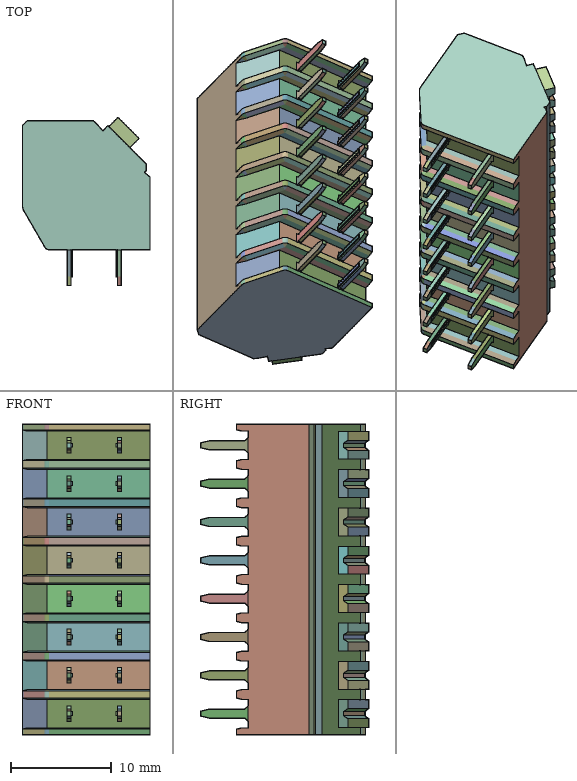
import cadquery as cq
import math


POLES = 8
PITCH = 3.81
WIDTH = 12.7
TOTAL_HEIGHT = 30.87
OVERALL_DEPTH = 16.72
PIN_TIP_Y = -3.55
BACK_Y = 12.85
SLANT_SUM = 20.86
BACK_CHAMFER = 0.5

FLOOR_Y = 1.17
FLOOR_CORNER_X = 2.43
FLOOR_SIDE_Y = 5.31

RIB_EDGE_THICKNESS = 0.74
RIB_TAPER_HEIGHT = 0.13
RIB_TAPER_INSET = 0.53
RIB_SIDE_Y = 4.12
RIB_SLANT_ANGLE = 60
RIB_SIDE_RADIUS = 1.0
RIB_BOTTOM_RADIUS = 0.55

BUTTON_START_X = 8.6
BUTTON_LENGTH = 2.96
BUTTON_WIDTH = 2.77
BUTTON_ROOT = 0.5
GROOVE_MOUTH = 1.0
GROOVE_BOTTOM = 0.4
GROOVE_DEPTH = 0.6

PIN_THICKNESS = 0.4
PIN_WIDTH = 0.92
PIN_TIP_WIDTH = 0.5
PIN_TAPER_Y = -2.68
PIN_FLARE_WIDTH = 1.55
PIN_FLARE_LENGTH = 0.33
PIN_ROOT = 0.3
FRONT_PIN_X = 4.64
PIN_SPACING = 5.0
BEAD_HEIGHT = 0.12
BEAD_WIDTH = 0.38

pole_heights = [(i - (POLES - 1) / 2) * PITCH for i in range(POLES)]
rib_heights = [(i - POLES / 2) * PITCH for i in range(POLES + 1)]

slant_low_x = 12.33
slant_high_x = 8.5
back_outline = [
    (WIDTH, 7.24),
    (12.13, 7.72),
    (slant_low_x, 7.85),
    (slant_low_x, SLANT_SUM - slant_low_x),
    (slant_high_x, SLANT_SUM - slant_high_x),
    (8.0, 11.84),
    (7.38, 12.55),
    (7.05, BACK_Y),
    (BACK_CHAMFER, BACK_Y),
    (0, BACK_Y - BACK_CHAMFER),
]

rib_slant = math.radians(RIB_SLANT_ANGLE)
rib_corner_x = RIB_SIDE_Y / math.tan(rib_slant)


def prism(points, height):
    """Extrude a closed XY outline symmetrically about Z = 0."""
    return cq.Workplane("XY").polyline(points).close().extrude(height / 2, both=True)


def draw_rib_edge(path):
    """Continue a path down the X = 0 side and along the rounded slanted rib edge."""
    along_x = math.cos(rib_slant)
    along_y = math.sin(rib_slant)
    side_tangent = RIB_SIDE_RADIUS * math.tan((math.pi / 2 - rib_slant) / 2)
    bottom_tangent = RIB_BOTTOM_RADIUS * math.tan(rib_slant / 2)
    side_arc_end = (side_tangent * along_x, RIB_SIDE_Y - side_tangent * along_y)
    bottom_arc_start = (rib_corner_x - bottom_tangent * along_x, bottom_tangent * along_y)
    bottom_arc_end = (rib_corner_x + bottom_tangent, 0)
    return (
        path
        .lineTo(0, RIB_SIDE_Y + side_tangent)
        .tangentArcPoint(side_arc_end, relative=False)
        .lineTo(*bottom_arc_start)
        .tangentArcPoint(bottom_arc_end, relative=False)
    )


def draw_rib_outline(height):
    """Closed rib outline at a height; it runs past WIDTH so its +X end is not tapered."""
    end_x = WIDTH + 2 * RIB_TAPER_INSET
    root_y = FLOOR_SIDE_Y + 2 * RIB_TAPER_INSET
    root = cq.Workplane("XY").workplane(offset=height).moveTo(end_x, root_y).lineTo(0, root_y)
    return draw_rib_edge(root).lineTo(end_x, 0).close()


def make_core():
    """Housing with its recessed floor carried over the full height."""
    floor = [(0, FLOOR_SIDE_Y), (FLOOR_CORNER_X, FLOOR_Y), (WIDTH, FLOOR_Y)]
    return prism(back_outline + floor, TOTAL_HEIGHT)


def make_envelope():
    """Housing outline including the ribs."""
    upper_part = cq.Workplane("XY").polyline(back_outline)
    outline = draw_rib_edge(upper_part).lineTo(WIDTH, 0).close()
    return outline.extrude(TOTAL_HEIGHT / 2, both=True)


def make_rib():
    """One rib centred on Z = 0, thinning towards its free edge on both faces."""
    half_thickness = RIB_EDGE_THICKNESS / 2
    taper_angle = math.degrees(math.atan2(RIB_TAPER_INSET, RIB_TAPER_HEIGHT))
    plate = draw_rib_outline(0).extrude(half_thickness, both=True)
    shoulder = draw_rib_outline(half_thickness).extrude(RIB_TAPER_HEIGHT, taper=taper_angle)
    return plate.union(shoulder).union(shoulder.mirror("XY"))


def make_housing():
    """Core and ribs, with the ribs trimmed to the housing outline."""
    rib = make_rib()
    envelope = make_envelope()
    between_end_ribs = cq.Workplane("XY").box(4 * WIDTH, 4 * WIDTH, POLES * PITCH)
    plates = envelope.cut(between_end_ribs)
    housing = make_core().union(plates)
    for z in rib_heights:
        housing = housing.union(rib.translate((0, 0, z)).intersect(envelope))
    return housing


def make_button():
    """Button on the slanted face with a screwdriver groove along its length."""
    start_y = SLANT_SUM - BUTTON_START_X
    top_y = PIN_TIP_Y + OVERALL_DEPTH
    height = (top_y - start_y) * math.sqrt(2)
    slant = cq.Plane(
        origin=(BUTTON_START_X, start_y, 0),
        xDir=(0, 0, -1),
        normal=(1, -1, 0),
    )
    block = (
        cq.Workplane(slant)
        .center(0, (height - BUTTON_ROOT) / 2)
        .rect(BUTTON_WIDTH, height + BUTTON_ROOT)
        .extrude(BUTTON_LENGTH)
    )
    groove = (
        cq.Workplane(slant)
        .polyline([
            (-GROOVE_MOUTH / 2, height),
            (-GROOVE_BOTTOM / 2, height - GROOVE_DEPTH),
            (GROOVE_BOTTOM / 2, height - GROOVE_DEPTH),
            (GROOVE_MOUTH / 2, height),
        ])
        .close()
        .extrude(BUTTON_LENGTH)
    )
    return block.cut(groove)


def make_pin(bead_side):
    """Flat pin centred on X = 0; bead_side is +1 or -1 for the face with the bead."""
    root_y = FLOOR_Y + PIN_ROOT
    right_half = [
        (root_y, PIN_FLARE_WIDTH / 2),
        (FLOOR_Y, PIN_FLARE_WIDTH / 2),
        (FLOOR_Y - PIN_FLARE_LENGTH, PIN_WIDTH / 2),
        (PIN_TAPER_Y, PIN_WIDTH / 2),
        (PIN_TIP_Y, PIN_TIP_WIDTH / 2),
    ]
    left_half = [(y, -z) for y, z in reversed(right_half)]
    blade = (
        cq.Workplane("YZ")
        .polyline(right_half + left_half)
        .close()
        .extrude(PIN_THICKNESS / 2, both=True)
    )
    bead_reach = PIN_THICKNESS / 2 + BEAD_HEIGHT
    bead_length = root_y - PIN_TAPER_Y
    bead = cq.Workplane("XY").box(bead_reach, bead_length, BEAD_WIDTH).translate(
        (bead_side * bead_reach / 2, PIN_TAPER_Y + bead_length / 2, 0)
    )
    return blade.union(bead)


front_pin = make_pin(1).translate((FRONT_PIN_X, 0, 0))
rear_pin = make_pin(-1).translate((FRONT_PIN_X + PIN_SPACING, 0, 0))
button = make_button()

result = make_housing()
for pole_z in pole_heights:
    for feature in (front_pin, rear_pin, button):
        result = result.union(feature.translate((0, 0, pole_z)))